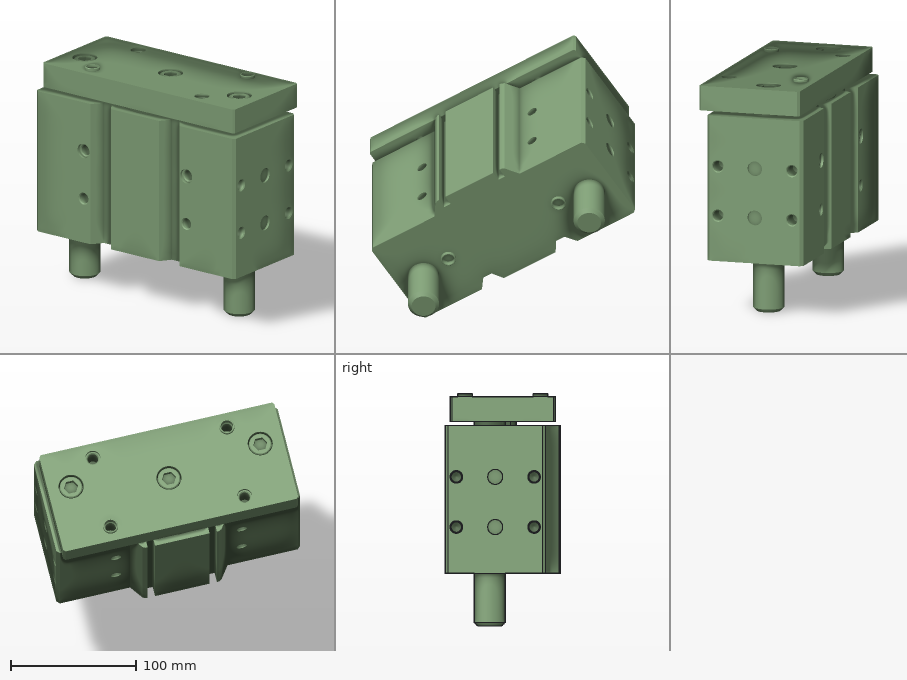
import cadquery as cq
import math


HOUSING_WIDTH = 200.0
HOUSING_DEPTH = 92.0
HOUSING_HEIGHT = 118.0
PLATE_WIDTH = 192.8
PLATE_DEPTH = 84.0
PLATE_THICKNESS = 20.0
PLATE_CHAMFER = 1.5
PLATE_GAP = 3.0
HALF_WIDTH = HOUSING_WIDTH / 2
FRONT_Y = -HOUSING_DEPTH / 2
BACK_Y = HOUSING_DEPTH / 2
PLATE_BOTTOM = HOUSING_HEIGHT + PLATE_GAP
PLATE_TOP = PLATE_BOTTOM + PLATE_THICKNESS

CORNER_CHAMFER = 2.5
FRONT_RIB_EDGE = 24.2
FRONT_RIB_ROOT = 30.2
FRONT_PAD_ROOT = 38.0
FRONT_PAD_EDGE = 44.8
GROOVE_FLOOR_Y = FRONT_Y + 9.0
SHOULDER_Y = 34.2
BACK_RIB_FOOT = 40.0
BACK_RIB_BEND = 32.5
BACK_RIB_BEND_Y = 44.8
BACK_RIB_EDGE = 30.0
SENSOR_SLOT_X = 25.5
SENSOR_SLOT_WIDTH = 6.0
SENSOR_SLOT_DEPTH = 8.0

PISTON_Y = 0.8
PISTON_ROD_DIAMETER = 20.0
PISTON_ROD_FLATS = 17.0
PISTON_ROD_INSERTION = 20.0
RING_GROOVE_OUTER = 82.0
RING_GROOVE_INNER = 80.0
RING_GROOVE_DEPTH = 1.0

GUIDE_X = 77.5
GUIDE_Y = -10.5
GUIDE_DIAMETER = 25.0
GUIDE_OVERHANG = 42.0
GUIDE_CHAMFER = 3.0

SCREW_RECESS_DIAMETER = 20.0
SCREW_RECESS_DEPTH = 13.0
SCREW_HEAD_DIAMETER = 18.0
SCREW_HEAD_HEIGHT = 12.0
SCREW_HEAD_CHAMFER = 0.8
HEX_ACROSS_FLATS = 10.0
HEX_DEPTH = 4.0

DRILL_DIAMETER = 8.5
MOUTH_DIAMETER = 10.0
MOUTH_DEPTH = (MOUTH_DIAMETER - DRILL_DIAMETER) / 2
SLEEVE_DIAMETER = 12.0
SLEEVE_BORE = 10.0
SLEEVE_SEAT_DEPTH = 2.5
SLEEVE_PROTRUSION = 2.5
SLEEVE_CHAMFER = 0.5
PLATE_HOLE_X = 55.0
PLATE_HOLE_Y = 30.0
FRONT_HOLE_X = 51.5
LOWER_HOLE_Z = 37.0
UPPER_HOLE_Z = 77.0
SIDE_HOLE_FRONT_Y = -37.0
SIDE_HOLE_BACK_Y = 25.0
SIDE_HOLE_DEPTH = 16.0
DRILL_POINT_ANGLE = 118.0
CENTRE_SEAT_Y = -6.0
CENTRE_SEAT_DEPTH = 2.0

SIDES = (-1, 1)
UP = (0, 0, 1)
DOWN = (0, 0, -1)
BACKWARD = (0, 1, 0)
GUIDE_POSITIONS = [(side * GUIDE_X, GUIDE_Y) for side in SIDES]
SCREW_POSITIONS = [(0, PISTON_Y), *GUIDE_POSITIONS]
BOTTOM_SEAT_POSITIONS = [(side * FRONT_HOLE_X, CENTRE_SEAT_Y) for side in SIDES]
PLATE_HOLE_POSITIONS = [
    (side_x * PLATE_HOLE_X, side_y * PLATE_HOLE_Y) for side_x in SIDES for side_y in SIDES
]
PLATE_SLEEVE_POSITIONS = [(side * PLATE_HOLE_X, side * PLATE_HOLE_Y) for side in SIDES]


def cylinder(diameter, length, start, direction=UP):
    solid = cq.Solid.makeCylinder(diameter / 2, length, cq.Vector(*start), cq.Vector(*direction))
    return cq.Workplane(solid)


def cone(start_diameter, end_diameter, length, start, direction):
    solid = cq.Solid.makeCone(
        start_diameter / 2, end_diameter / 2, length, cq.Vector(*start), cq.Vector(*direction)
    )
    return cq.Workplane(solid)


def drilled_hole(start, direction, depth, seat_depth=0.0):
    """A drilled hole with a chamfered mouth, below a sleeve seat where seat_depth is not zero."""
    mouth = tuple(s + seat_depth * d for s, d in zip(start, direction))
    hole = cylinder(DRILL_DIAMETER, depth, start, direction)
    hole = hole.union(cone(MOUTH_DIAMETER, DRILL_DIAMETER, MOUTH_DEPTH, mouth, direction))
    if seat_depth > 0:
        hole = hole.union(cylinder(SLEEVE_DIAMETER, seat_depth, start, direction))
    return hole


def blind_side_hole(side, y, z):
    point_length = DRILL_DIAMETER / 2 / math.tan(math.radians(DRILL_POINT_ANGLE / 2))
    inward = (-side, 0, 0)
    hole = drilled_hole((side * HALF_WIDTH, y, z), inward, SIDE_HOLE_DEPTH)
    bottom = (side * (HALF_WIDTH - SIDE_HOLE_DEPTH), y, z)
    return hole.union(cone(DRILL_DIAMETER, 0, point_length, bottom, inward))


def housing_block():
    """The extruded profile, drawn as its +X half and mirrored."""
    half_outline = [
        (FRONT_RIB_EDGE, FRONT_Y),
        (FRONT_RIB_ROOT, GROOVE_FLOOR_Y),
        (FRONT_PAD_ROOT, GROOVE_FLOOR_Y),
        (FRONT_PAD_EDGE, FRONT_Y),
        (HALF_WIDTH - CORNER_CHAMFER, FRONT_Y),
        (HALF_WIDTH, FRONT_Y + CORNER_CHAMFER),
        (HALF_WIDTH, SHOULDER_Y - CORNER_CHAMFER),
        (HALF_WIDTH - CORNER_CHAMFER, SHOULDER_Y),
        (BACK_RIB_FOOT, SHOULDER_Y),
        (BACK_RIB_BEND, BACK_RIB_BEND_Y),
        (BACK_RIB_EDGE, BACK_Y),
    ]
    other_half = [(-x, y) for x, y in reversed(half_outline)]
    return cq.Workplane("XY").polyline(half_outline + other_half).close().extrude(HOUSING_HEIGHT)


def cut_sensor_slots(body):
    for side in SIDES:
        slot = (
            cq.Workplane("XY", origin=(side * SENSOR_SLOT_X, BACK_Y - SENSOR_SLOT_DEPTH / 2, 0))
            .rect(SENSOR_SLOT_WIDTH, SENSOR_SLOT_DEPTH)
            .extrude(HOUSING_HEIGHT)
        )
        body = body.cut(slot)
    return body


def cut_rod_bores(body):
    for x, y in GUIDE_POSITIONS:
        body = body.cut(cylinder(GUIDE_DIAMETER, HOUSING_HEIGHT, (x, y, 0)))
    top_centre = (0, PISTON_Y, HOUSING_HEIGHT)
    ring = cylinder(RING_GROOVE_OUTER, RING_GROOVE_DEPTH, top_centre, DOWN)
    ring = ring.cut(cylinder(RING_GROOVE_INNER, RING_GROOVE_DEPTH, top_centre, DOWN))
    body = body.cut(ring)
    return body.cut(cylinder(PISTON_ROD_DIAMETER, PISTON_ROD_INSERTION, top_centre, DOWN))


def cut_front_holes(body):
    """Holes through the whole depth; the upper pair starts with a sleeve seat."""
    for side in SIDES:
        lower = (side * FRONT_HOLE_X, FRONT_Y, LOWER_HOLE_Z)
        upper = (side * FRONT_HOLE_X, FRONT_Y, UPPER_HOLE_Z)
        body = body.cut(drilled_hole(lower, BACKWARD, HOUSING_DEPTH))
        body = body.cut(drilled_hole(upper, BACKWARD, HOUSING_DEPTH, SLEEVE_SEAT_DEPTH))
    return body


def cut_side_holes(body):
    """Two blind holes and a shallow centring seat at each height of both end faces."""
    for side in SIDES:
        for z in (LOWER_HOLE_Z, UPPER_HOLE_Z):
            for y in (SIDE_HOLE_FRONT_Y, SIDE_HOLE_BACK_Y):
                body = body.cut(blind_side_hole(side, y, z))
            seat_start = (side * HALF_WIDTH, CENTRE_SEAT_Y, z)
            body = body.cut(cylinder(SLEEVE_DIAMETER, CENTRE_SEAT_DEPTH, seat_start, (-side, 0, 0)))
    return body


def cut_bottom_seats(body):
    for x, y in BOTTOM_SEAT_POSITIONS:
        body = body.cut(cylinder(SLEEVE_DIAMETER, SLEEVE_SEAT_DEPTH, (x, y, 0)))
    return body


def make_housing():
    body = cut_sensor_slots(housing_block())
    body = cut_rod_bores(body)
    body = cut_front_holes(body)
    body = cut_side_holes(body)
    return cut_bottom_seats(body)


def screw_head(x, y):
    head_bottom = PLATE_TOP - SCREW_RECESS_DEPTH
    head_top = head_bottom + SCREW_HEAD_HEIGHT
    head = cylinder(SCREW_HEAD_DIAMETER, SCREW_HEAD_HEIGHT, (x, y, head_bottom))
    head = head.faces(">Z").chamfer(SCREW_HEAD_CHAMFER)
    across_corners = HEX_ACROSS_FLATS / math.cos(math.radians(30))
    socket = (
        cq.Workplane("XY", origin=(x, y, head_top - HEX_DEPTH))
        .polygon(6, across_corners)
        .extrude(HEX_DEPTH)
    )
    return head.cut(socket)


def piston_rod():
    """The round rod end in the housing, with two flats facing -X and +X in the gap."""
    rod = cylinder(
        PISTON_ROD_DIAMETER, PISTON_ROD_INSERTION, (0, PISTON_Y, HOUSING_HEIGHT - PISTON_ROD_INSERTION)
    )
    neck = cylinder(PISTON_ROD_DIAMETER, PLATE_GAP, (0, PISTON_Y, HOUSING_HEIGHT))
    flats = (
        cq.Workplane("XY", origin=(0, PISTON_Y, HOUSING_HEIGHT))
        .rect(PISTON_ROD_FLATS, PISTON_ROD_DIAMETER)
        .extrude(PLATE_GAP)
    )
    return rod.union(neck.intersect(flats))


def make_plate():
    """The moving plate in one piece with its screw heads and the piston rod."""
    plate = cq.Workplane("XY", origin=(0, 0, PLATE_BOTTOM)).rect(PLATE_WIDTH, PLATE_DEPTH)
    plate = plate.extrude(PLATE_THICKNESS).edges("|Z").chamfer(PLATE_CHAMFER)
    for x, y in PLATE_HOLE_POSITIONS:
        plate = plate.cut(drilled_hole((x, y, PLATE_TOP), DOWN, PLATE_THICKNESS, SLEEVE_SEAT_DEPTH))
    for x, y in SCREW_POSITIONS:
        plate = plate.cut(cylinder(SCREW_RECESS_DIAMETER, SCREW_RECESS_DEPTH, (x, y, PLATE_TOP), DOWN))
        plate = plate.union(screw_head(x, y))
    return plate.union(piston_rod())


def make_guide_rod(x, y):
    rod = cylinder(GUIDE_DIAMETER, GUIDE_OVERHANG + PLATE_BOTTOM, (x, y, -GUIDE_OVERHANG))
    return rod.faces("<Z").chamfer(GUIDE_CHAMFER)


def make_sleeve(x, y, bottom_z):
    length = SLEEVE_SEAT_DEPTH + SLEEVE_PROTRUSION
    sleeve = cylinder(SLEEVE_DIAMETER, length, (x, y, bottom_z)).edges().chamfer(SLEEVE_CHAMFER)
    return sleeve.cut(cylinder(SLEEVE_BORE, length, (x, y, bottom_z)))


housing = make_housing()
plate = make_plate()
guide_rods = [make_guide_rod(x, y) for x, y in GUIDE_POSITIONS]
plate_sleeves = [make_sleeve(x, y, PLATE_TOP - SLEEVE_SEAT_DEPTH) for x, y in PLATE_SLEEVE_POSITIONS]
bottom_sleeves = [make_sleeve(x, y, -SLEEVE_PROTRUSION) for x, y in BOTTOM_SEAT_POSITIONS]

repeated_bodies = guide_rods + plate_sleeves + bottom_sleeves
result = cq.Compound.makeCompound([housing.val(), plate.val(), *[body.val() for body in repeated_bodies]])